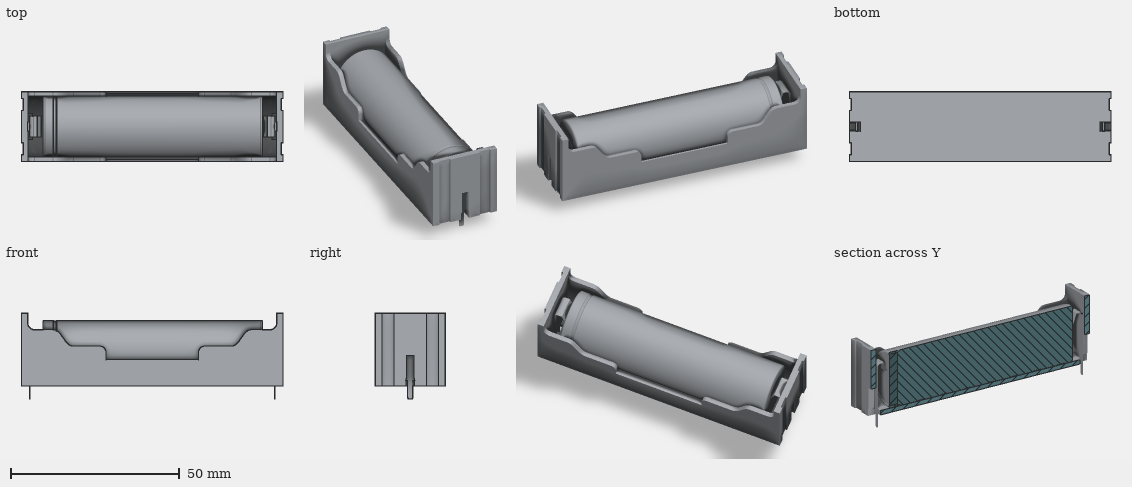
import cadquery as cq
import math

length = 77.65
width = 20.8
height = 21.7
half_length = length / 2
half_width = width / 2
plate_thickness = 1.95
plate_inner_x = half_length - plate_thickness

shoulder_height = 16.8
saddle_height = 11.9
ramp_start = 9.4
ramp_length = 6.05
ramp_ease = 0.45
plate_rounding = 2.0
window_rounding = 1.8
window_half_length = 13.75
window_sill_height = 7.9
sill_width = 0.6
sill_bevel_run = 1.9
sill_bevel_drop = 1.55

groove_offset = 2.1
groove_width = 3.5
groove_depth = 0.55
slot_width = 2.1
slot_height = 9.1
slot_foot_width = 2.65
slot_foot_height = 2.3
seat_width = 7.7
seat_depth = 1.4
seat_height = 1.6

battery_radius = 9.0
battery_axis_z = 10.55
battery_left_x = -32.45
battery_right_x = 32.8
end_rounding = 0.6
crimp_position = 3.6
crimp_mouth = 1.2
crimp_floor = 0.7
crimp_depth = 0.2
cap_radius = 8.2
cap_seat_depth = crimp_position - crimp_mouth / 2
cap_setback = 0.2

contact_thickness = 0.2
contact_width = 6.3
contact_gap = 0.5
contact_top = 16.7
contact_bend_radius = 1.1
contact_tongue_start = 2.8
contact_tip = 3.95
contact_tip_drop = 3.1
pin_width = 1.6
pin_length = 3.8
pin_corner_radius = 0.5


def box_between(x_min, x_max, size_y, z_min, z_max):
    """Box centred on the XZ plane."""
    return cq.Workplane("XY").box(
        x_max - x_min, size_y, z_max - z_min, centered=(False, True, False)
    ).translate((x_min, 0, z_min))


def both_ends(shape):
    """The shape at the left end together with its mirror image at the right end."""
    return shape.union(shape.mirror("YZ"))


def half_wall_opening():
    """Left half of the space above the side walls, cut straight across the holder."""
    plate_mid = plate_rounding * (1 - math.sqrt(0.5))
    window_mid = window_rounding * (1 - math.sqrt(0.5))
    plate_x = -plate_inner_x
    ramp_x = ramp_start - half_length
    ramp_end_x = ramp_x + ramp_length
    ease = ramp_ease * ramp_length
    window_x = -window_half_length
    return (
        cq.Workplane("XZ")
        .moveTo(plate_x, height)
        .lineTo(plate_x, shoulder_height + plate_rounding)
        .threePointArc(
            (plate_x + plate_mid, shoulder_height + plate_mid),
            (plate_x + plate_rounding, shoulder_height),
        )
        .lineTo(ramp_x, shoulder_height)
        .bezier(
            [
                (ramp_x + ease, shoulder_height),
                (ramp_end_x - ease, saddle_height),
                (ramp_end_x, saddle_height),
            ],
            includeCurrent=True,
        )
        .lineTo(window_x - window_rounding, saddle_height)
        .threePointArc(
            (window_x - window_mid, saddle_height - window_mid),
            (window_x, saddle_height - window_rounding),
        )
        .lineTo(window_x, window_sill_height)
        .lineTo(0, window_sill_height)
        .lineTo(0, height)
        .close()
        .extrude(half_width, both=True)
    )


def trough():
    """Round-bottomed space for the battery, open at the top."""
    round_part = (
        cq.Workplane("YZ")
        .center(0, battery_axis_z)
        .circle(battery_radius)
        .extrude(plate_inner_x, both=True)
    )
    open_part = box_between(-plate_inner_x, plate_inner_x, 2 * battery_radius, battery_axis_z, height)
    return round_part.union(open_part)


def sill_bevels():
    """Space above the slopes that lead from the window sills into the trough."""
    outer_y = half_width - sill_width
    inner_y = outer_y - sill_bevel_run
    return (
        cq.Workplane("YZ")
        .moveTo(-outer_y, window_sill_height)
        .lineTo(outer_y, window_sill_height)
        .lineTo(inner_y, window_sill_height - sill_bevel_drop)
        .lineTo(-inner_y, window_sill_height - sill_bevel_drop)
        .close()
        .extrude(window_half_length, both=True)
    )


def plate_grooves():
    """Upright grooves in the outer faces of the end plates."""
    groove_y = half_width - groove_offset - groove_width / 2
    groove = box_between(-half_length, -half_length + groove_depth, groove_width, 0, height)
    pair = groove.translate((0, groove_y, 0)).union(groove.translate((0, -groove_y, 0)))
    return both_ends(pair)


def contact_seats():
    """Slots through the end plates and the flat seats that take the contacts."""
    seat_end_x = -plate_inner_x + seat_depth
    slot = box_between(-half_length, -plate_inner_x, slot_width, 0, slot_height)
    foot = box_between(-half_length, seat_end_x, slot_foot_width, 0, slot_foot_height)
    seat = box_between(-plate_inner_x, seat_end_x, seat_width, seat_height, battery_axis_z)
    return both_ends(slot.union(foot).union(seat))


def make_holder():
    body = box_between(-half_length, half_length, width, 0, height)
    return (
        body.cut(both_ends(half_wall_opening()))
        .cut(trough())
        .cut(sill_bevels())
        .cut(plate_grooves())
        .cut(contact_seats())
    )


def make_battery_can():
    """Turned can with rounded ends, a crimp groove and a recess for the cap."""
    can_length = battery_right_x - battery_left_x
    can = (
        cq.Workplane("YZ")
        .circle(battery_radius)
        .extrude(can_length)
        .edges()
        .fillet(end_rounding)
    )
    floor_radius = battery_radius - crimp_depth
    crimp = (
        cq.Workplane("XY")
        .moveTo(crimp_position - crimp_mouth / 2, battery_radius)
        .lineTo(crimp_position - crimp_floor / 2, floor_radius)
        .lineTo(crimp_position + crimp_floor / 2, floor_radius)
        .lineTo(crimp_position + crimp_mouth / 2, battery_radius)
        .close()
        .revolve(360, (0, 0, 0), (1, 0, 0))
    )
    cap_recess = cq.Workplane("YZ").circle(cap_radius).extrude(cap_seat_depth)
    return can.cut(crimp).cut(cap_recess).translate((battery_left_x, 0, battery_axis_z))


def make_battery_cap():
    """Disc that closes the left end of the can."""
    cap = cq.Workplane("YZ").circle(cap_radius).extrude(cap_seat_depth - cap_setback)
    return cap.translate((battery_left_x + cap_setback, 0, battery_axis_z))


def make_left_contact():
    """Bent strip: a solder pin, an upright back, a level top and a sloping spring tongue."""
    back_x = -plate_inner_x + contact_gap + contact_thickness / 2
    top_z = contact_top - contact_thickness / 2
    bend_mid = contact_bend_radius * (1 - math.sqrt(0.5))
    tongue_x = -plate_inner_x + contact_tongue_start
    path = (
        cq.Workplane("XZ")
        .moveTo(back_x, -pin_length)
        .lineTo(back_x, top_z - contact_bend_radius)
        .threePointArc((back_x + bend_mid, top_z - bend_mid), (back_x + contact_bend_radius, top_z))
        .lineTo(tongue_x, top_z)
        .lineTo(-plate_inner_x + contact_tip, top_z - contact_tip_drop)
    )
    strip = (
        cq.Workplane("XY", origin=(back_x, 0, -pin_length))
        .rect(contact_thickness, contact_width)
        .sweep(path, transition="right")
    )
    pin = (
        box_between(-plate_inner_x, back_x + contact_thickness, pin_width, -pin_length, seat_height)
        .edges("|X and <Z")
        .fillet(pin_corner_radius)
    )
    upper = box_between(-half_length, 0, contact_width, seat_height, height)
    return strip.intersect(upper.union(pin))


holder = make_holder()
battery_can = make_battery_can()
battery_cap = make_battery_cap()
left_contact = make_left_contact()
contacts = [left_contact.val(), left_contact.mirror("YZ").val()]

result = cq.Compound.makeCompound([holder.val(), battery_can.val(), battery_cap.val(), *contacts])